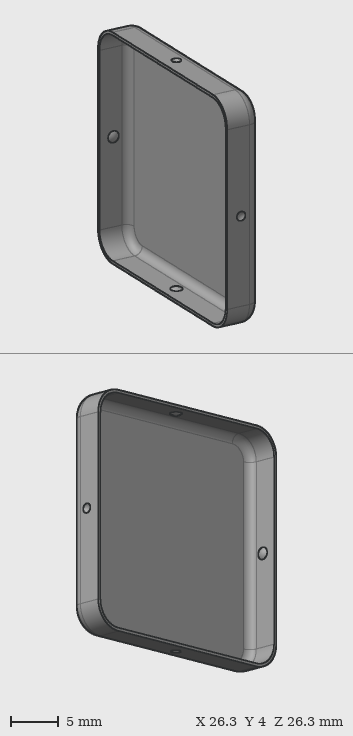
import cadquery as cq
import math

side = 26.3
depth = 4.0
wall = 0.35
corner_radius = 2.95
floor_edge_radius = 1.3

dimple_diameter = 1.05
dimple_sphere_radius = 0.68
detent_from_rim = 1.7

rim_y = -depth / 2
floor_y = depth / 2
bump_sphere_radius = dimple_sphere_radius + wall
sphere_offset = math.sqrt(dimple_sphere_radius**2 - (dimple_diameter / 2) ** 2)
sphere_center_distance = side / 2 + sphere_offset
detent_y = rim_y + detent_from_rim


def rounded_block(width, back_y, vertical_radius, back_radius):
    """Rounded square block from the rim to back_y, with its back edge filleted."""
    block = cq.Workplane("XZ", origin=(0, rim_y, 0)).rect(width, width).extrude(rim_y - back_y)
    return block.edges("|Y").fillet(vertical_radius).faces(">Y").edges().fillet(back_radius)


def detent_spheres(radius):
    """Four equal spheres centred just outside the middle of each wall."""
    top_sphere = cq.Workplane("XY").sphere(radius).translate((0, detent_y, sphere_center_distance))
    spheres = cq.Workplane("XY")
    for angle in (0, 90, 180, 270):
        spheres = spheres.add(top_sphere.rotate((0, 0, 0), (0, 1, 0), angle))
    return spheres.combine()


outer = rounded_block(side, floor_y, corner_radius, floor_edge_radius)
cavity = rounded_block(side - 2 * wall, floor_y - wall, corner_radius - wall, floor_edge_radius - wall)

bumps = detent_spheres(bump_sphere_radius).intersect(outer)

result = outer.cut(cavity).union(bumps).cut(detent_spheres(dimple_sphere_radius))